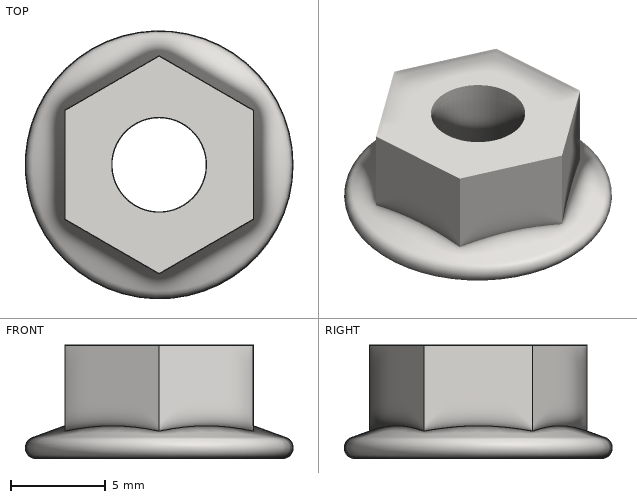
import cadquery as cq
import math

flange_diameter = 14.2
nut_height = 6.0
across_flats = 10.0
bore_diameter = 5.0

rim_radius = 0.57
slope_angle = math.radians(20)

across_corners = across_flats / math.cos(math.pi / 6)
rim_center_x = flange_diameter / 2 - rim_radius


def make_flange():
    """Revolve the flange: flat base, rounded rim and conical top."""
    tangent_x = rim_center_x + rim_radius * math.sin(slope_angle)
    tangent_z = rim_radius * (1 + math.cos(slope_angle))
    inner_x = bore_diameter / 2
    inner_z = tangent_z + (tangent_x - inner_x) * math.tan(slope_angle)
    return (
        cq.Workplane("XZ")
        .moveTo(inner_x, 0)
        .lineTo(rim_center_x, 0)
        .threePointArc((flange_diameter / 2, rim_radius), (tangent_x, tangent_z))
        .lineTo(inner_x, inner_z)
        .close()
        .revolve(360, (0, 0, 0), (0, 1, 0))
    )


def make_hexagon():
    """Hexagonal body with corners on the Y axis and flats facing X."""
    return (
        cq.Workplane("XY")
        .transformed(rotate=(0, 0, 90))
        .polygon(6, across_corners)
        .circle(bore_diameter / 2)
        .extrude(nut_height)
    )


result = make_hexagon().union(make_flange())